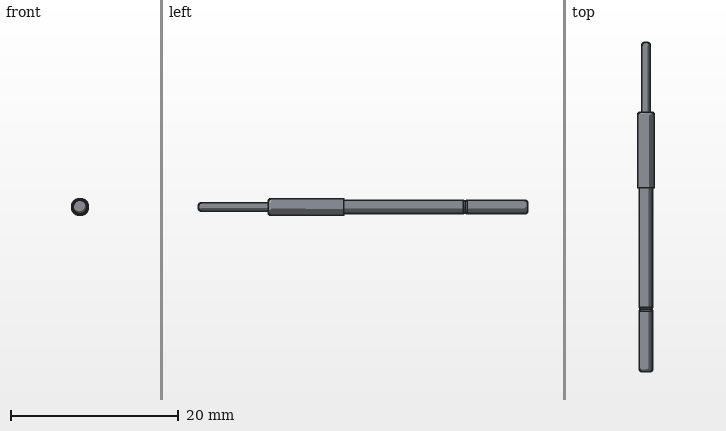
import cadquery as cq

length = 39.3
barrel_diameter = 1.6
sleeve_diameter = 2.0
tip_diameter = 1.02

groove_center = 7.45
sleeve_front = 21.93
sleeve_back = 30.95

front_round = 0.4
shoulder_round = 0.4
tip_round = 0.45
groove_width = 0.5
groove_depth = 0.1

front_y = -length / 2


def cylinder(diameter, start, end):
    """Round bar along Y between two distances from the front end."""
    bar = cq.Workplane("XZ", origin=(0, front_y + start, 0)).circle(diameter / 2)
    return bar.extrude(start - end)


def barrel_groove():
    """Ring with a V-shaped section, to be cut from the barrel."""
    center_y = front_y + groove_center
    barrel_radius = barrel_diameter / 2
    profile = (
        cq.Workplane("XY")
        .moveTo(barrel_radius, center_y - groove_width / 2)
        .lineTo(barrel_radius - groove_depth, center_y)
        .lineTo(barrel_radius, center_y + groove_width / 2)
        .close()
    )
    return profile.revolve(360, (0, 0, 0), (0, 1, 0))


barrel = cylinder(barrel_diameter, 0, sleeve_front).faces("<Y").edges().fillet(front_round)
barrel = barrel.cut(barrel_groove())
sleeve = cylinder(sleeve_diameter, sleeve_front, sleeve_back).faces(">Y").edges().fillet(shoulder_round)
tip = cylinder(tip_diameter, sleeve_back, length).faces(">Y").edges().fillet(tip_round)

result = barrel.union(sleeve).union(tip)